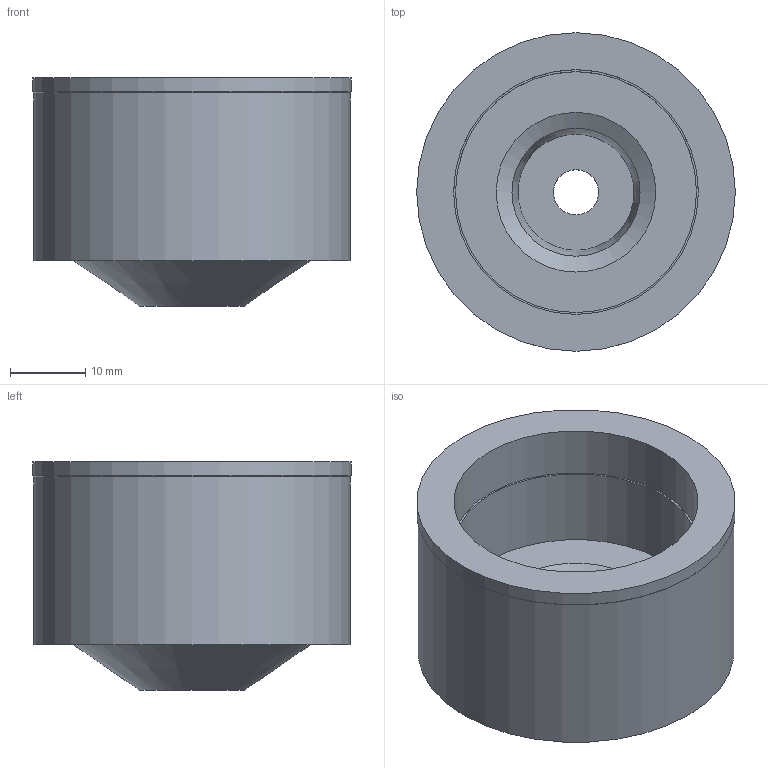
import cadquery as cq

total_height = 30.3
rim_radius = 21.15
rim_height = 2.0
body_radius = 21.0
nose_height = 6.0
nose_top_radius = 15.7
nose_tip_radius = 7.0

bore_upper_radius = 16.25
bore_upper_depth = 6.8
bore_lower_radius = 16.0
bore_depth = 17.5

recess_mouth_radius = 10.6
recess_middle_radius = 8.5
recess_floor_radius = 7.7
recess_upper_depth = 1.2
recess_lower_depth = 3.6
outlet_radius = 3.0

body_top = total_height - rim_height
rim_edge = body_top + (rim_radius - body_radius)
bore_step = total_height - bore_upper_depth
bore_floor = total_height - bore_depth
recess_middle = bore_floor - recess_upper_depth
recess_floor = recess_middle - recess_lower_depth


def revolve_profile(points):
    """Revolve a closed (radius, height) outline a full turn about Z."""
    return cq.Workplane("YZ").polyline(points).close().revolve(360, (0, 0, 0), (0, 1, 0))


def outer_shell():
    """Solid outside form: conical nose, cylindrical body and a rim that flares out at 45 degrees."""
    return revolve_profile([
        (0, 0),
        (nose_tip_radius, 0),
        (nose_top_radius, nose_height),
        (body_radius, nose_height),
        (body_radius, body_top),
        (rim_radius, rim_edge),
        (rim_radius, total_height),
        (0, total_height),
    ])


def inner_cavity():
    """Space inside the part: stepped bore, tapered recess and outlet hole."""
    return revolve_profile([
        (0, 0),
        (outlet_radius, 0),
        (outlet_radius, recess_floor),
        (recess_floor_radius, recess_floor),
        (recess_middle_radius, recess_middle),
        (recess_mouth_radius, bore_floor),
        (bore_lower_radius, bore_floor),
        (bore_lower_radius, bore_step),
        (bore_upper_radius, bore_step),
        (bore_upper_radius, total_height),
        (0, total_height),
    ])


result = outer_shell().cut(inner_cavity())